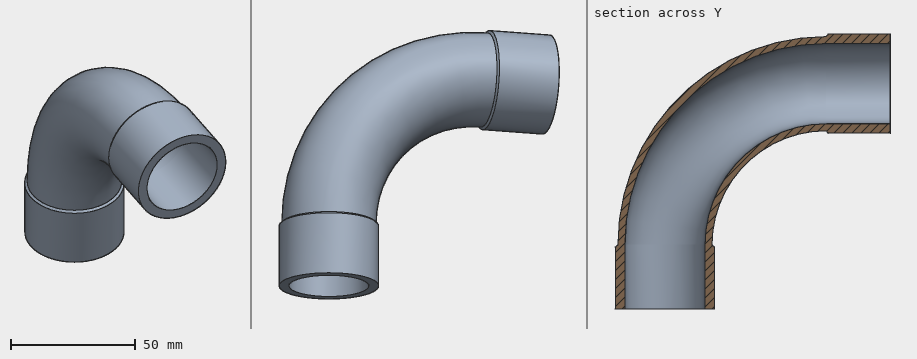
import cadquery as cq

overall_size = 110.5
socket_diameter = 40.0
pipe_diameter = 38.0
bore_diameter = 32.0
socket_length = 25.7
shoulder_length = 0.8

socket_radius = socket_diameter / 2
pipe_radius = pipe_diameter / 2
bore_radius = bore_diameter / 2
bend_radius = overall_size - socket_radius - socket_length
upper_axis_height = socket_length + bend_radius


def lower_socket():
    """Vertical hollow socket whose conical shoulder narrows to the pipe."""
    return (
        cq.Workplane("XZ")
        .moveTo(bore_radius, 0)
        .lineTo(socket_radius, 0)
        .lineTo(socket_radius, socket_length - shoulder_length)
        .lineTo(pipe_radius, socket_length)
        .lineTo(bore_radius, socket_length)
        .close()
        .revolve(360, (0, 0), (0, 1))
    )


def upper_socket():
    """The same socket laid along X, with its open end facing +X."""
    return (
        lower_socket()
        .rotate((0, 0, 0), (0, 1, 0), -90)
        .translate((bend_radius + socket_length, 0, upper_axis_height))
    )


def quarter_bend():
    """Hollow quarter bend from the lower socket to the upper socket."""
    bend_axis_start = (bend_radius, 0)
    bend_axis_end = (bend_radius, 1)
    return (
        cq.Workplane("XY", origin=(0, 0, socket_length))
        .circle(pipe_radius)
        .circle(bore_radius)
        .revolve(90, bend_axis_start, bend_axis_end)
    )


result = quarter_bend().union(lower_socket()).union(upper_socket())